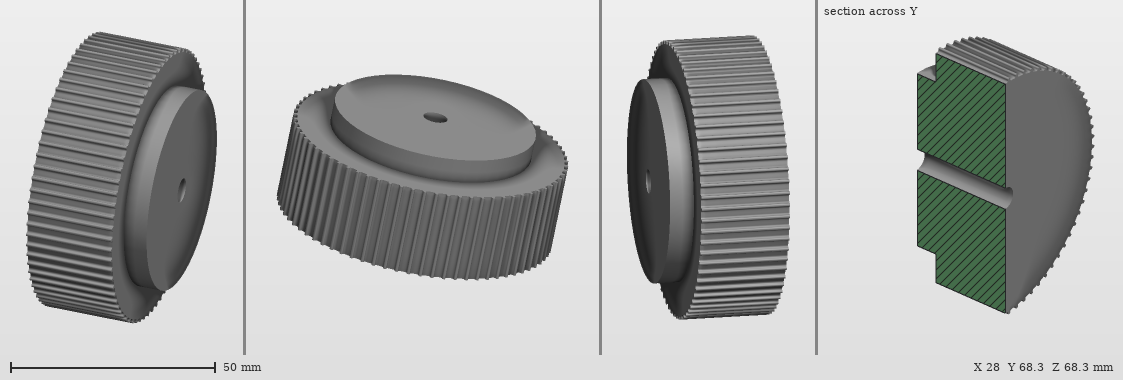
import cadquery as cq
import math

outer_diameter = 68.3
total_length = 28.0
toothed_length = 22.05
hub_diameter = 50.0
bore_diameter = 6.0

tooth_count = 72
tooth_depth = 0.95
tooth_width = 0.8
tip_rounding = 0.35
root_rounding = 0.5

tooth_pitch = 2 * math.pi / tooth_count
first_tooth_angle = tooth_pitch / 2
half_width = tooth_width / 2

tip_corner_offset = half_width - tip_rounding
tip_corner_angle = math.asin(2 * tip_corner_offset / outer_diameter)
tip_center_radius = (outer_diameter / 2 - tip_rounding) / math.cos(first_tooth_angle - tip_corner_angle)
tip_radius = tip_center_radius + tip_rounding
root_radius = tip_radius - tooth_depth


def turned(point, angle):
    """Turn a (radial, sideways) point of a tooth to the tooth's place on the rim."""
    radial, sideways = point
    return (
        radial * math.cos(angle) - sideways * math.sin(angle),
        radial * math.sin(angle) + sideways * math.cos(angle),
    )


def mirrored(point):
    """Point on the opposite half of the tooth."""
    return (point[0], -point[1])


def toothed_rim():
    """Toothed disc; each tooth runs root arc, root round, flank, rounded tip, flank, root round."""
    tip_center_height = math.sqrt(tip_center_radius**2 - tip_corner_offset**2)
    root_center_radius = root_radius + root_rounding
    root_center_offset = half_width + root_rounding
    root_center_height = math.sqrt(root_center_radius**2 - root_center_offset**2)

    tip_scale = tip_radius / tip_center_radius
    tip_end = (tip_center_height * tip_scale, tip_corner_offset * tip_scale)
    flank_top = (tip_center_height, half_width)
    flank_bottom = (root_center_height, half_width)
    root_scale = root_radius / root_center_radius
    root_start = (root_center_height * root_scale, root_center_offset * root_scale)

    start = turned(root_start, first_tooth_angle - tooth_pitch)
    outline = cq.Workplane("YZ").moveTo(*start)
    for tooth in range(tooth_count):
        angle = first_tooth_angle + tooth * tooth_pitch
        gap_angle = angle - tooth_pitch / 2
        outline = (
            outline
            .threePointArc(turned((root_radius, 0), gap_angle), turned(mirrored(root_start), angle))
            .tangentArcPoint(turned(mirrored(flank_bottom), angle), relative=False)
            .lineTo(*turned(mirrored(flank_top), angle))
            .tangentArcPoint(turned(mirrored(tip_end), angle), relative=False)
            .threePointArc(turned((tip_radius, 0), angle), turned(tip_end, angle))
            .tangentArcPoint(turned(flank_top, angle), relative=False)
            .lineTo(*turned(flank_bottom, angle))
            .tangentArcPoint(turned(root_start, angle), relative=False)
        )
    return outline.close().extrude(toothed_length)


def hub():
    """Plain round hub standing out from the far face of the rim."""
    hub_length = total_length - toothed_length
    return cq.Workplane("YZ", origin=(toothed_length, 0, 0)).circle(hub_diameter / 2).extrude(hub_length)


def bore():
    """Shaft hole through the whole length."""
    return cq.Workplane("YZ").circle(bore_diameter / 2).extrude(total_length)


result = toothed_rim().union(hub()).cut(bore())